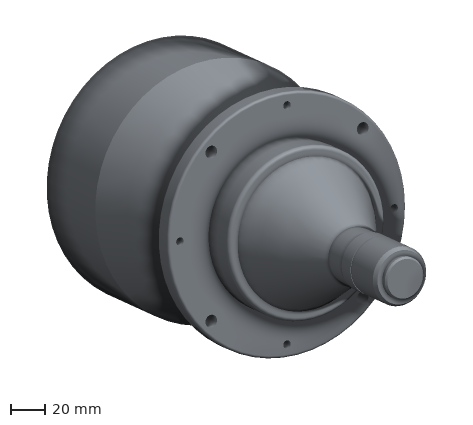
import cadquery as cq

front_end = 56.0
front_cone_end = 122.5
neck_start = 123.8
flange_start = 128.0
flange_end = 139.8
hub_end = 162.5
rear_cone_end = 216.5
ring_start = 233.5
groove_start = 243.7
groove_end = 245.5
barrel_end = 271.8
tip_end = 275.7

body_radius = 80.0
front_cone_end_radius = 56.0
neck_radius = 55.5
hub_radius = 52.7
rear_cone_start_radius = 46.3
stem_radius = 17.0
barrel_radius = 18.0
groove_radius = 17.6
tip_radius = 13.0

neck_fillet = flange_start - neck_start
flange_edge_fillet = 1.7
hub_edge_fillet = 2.5
barrel_chamfer_length = 2.5
barrel_chamfer_depth = 1.7
tip_chamfer = 1.0

hole_circle_radius = 72.0
large_hole_diameter = 7.7
small_hole_diameter = 5.0
holes_per_set = 4
large_hole_angle = 45
small_hole_angle = 0


def rounded_corner(outline, x, radius, size, direction):
    """Add a convex quarter round starting at (x, radius); direction is +1 for a rise, -1 for a fall."""
    diagonal = size * 0.5 ** 0.5
    if direction > 0:
        middle = (x + size - diagonal, radius + diagonal)
    else:
        middle = (x + diagonal, radius - size + diagonal)
    return outline.threePointArc(middle, (x + size, radius + direction * size))


def make_body():
    """Revolve the half outline (X along the axis, Y as radius) about the X axis."""
    flange_corner_radius = body_radius - flange_edge_fillet
    fillet_offset = neck_fillet * 0.5 ** 0.5

    outline = (
        cq.Workplane("XY")
        .lineTo(0, body_radius)
        .lineTo(front_end, body_radius)
        .lineTo(front_cone_end, front_cone_end_radius)
        .lineTo(neck_start, neck_radius)
        .threePointArc(
            (neck_start + fillet_offset, neck_radius + neck_fillet - fillet_offset),
            (flange_start, neck_radius + neck_fillet),
        )
        .lineTo(flange_start, flange_corner_radius)
    )
    outline = rounded_corner(outline, flange_start, flange_corner_radius, flange_edge_fillet, 1)
    outline = outline.lineTo(flange_end - flange_edge_fillet, body_radius)
    outline = rounded_corner(outline, flange_end - flange_edge_fillet, body_radius, flange_edge_fillet, -1)
    outline = outline.lineTo(flange_end, hub_radius).lineTo(hub_end - hub_edge_fillet, hub_radius)
    outline = rounded_corner(outline, hub_end - hub_edge_fillet, hub_radius, hub_edge_fillet, -1)
    outline = (
        outline
        .lineTo(hub_end, rear_cone_start_radius)
        .lineTo(rear_cone_end, stem_radius)
        .lineTo(ring_start, stem_radius)
        .lineTo(ring_start, barrel_radius)
        .lineTo(groove_start, barrel_radius)
        .lineTo(groove_start, groove_radius)
        .lineTo(groove_end, groove_radius)
        .lineTo(groove_end, barrel_radius)
        .lineTo(barrel_end - barrel_chamfer_length, barrel_radius)
        .lineTo(barrel_end, barrel_radius - barrel_chamfer_depth)
        .lineTo(barrel_end, tip_radius)
        .lineTo(tip_end - tip_chamfer, tip_radius)
        .lineTo(tip_end, tip_radius - tip_chamfer)
        .lineTo(tip_end, 0)
        .close()
    )
    return outline.revolve(360, (0, 0, 0), (1, 0, 0))


def flange_holes(diameter, start_angle):
    """Cylinders through the flange, evenly spaced on the hole circle."""
    return (
        cq.Workplane("YZ", origin=(flange_start, 0, 0))
        .polarArray(hole_circle_radius, start_angle, 360, holes_per_set)
        .circle(diameter / 2)
        .extrude(flange_end - flange_start)
    )


result = (
    make_body()
    .cut(flange_holes(large_hole_diameter, large_hole_angle))
    .cut(flange_holes(small_hole_diameter, small_hole_angle))
)